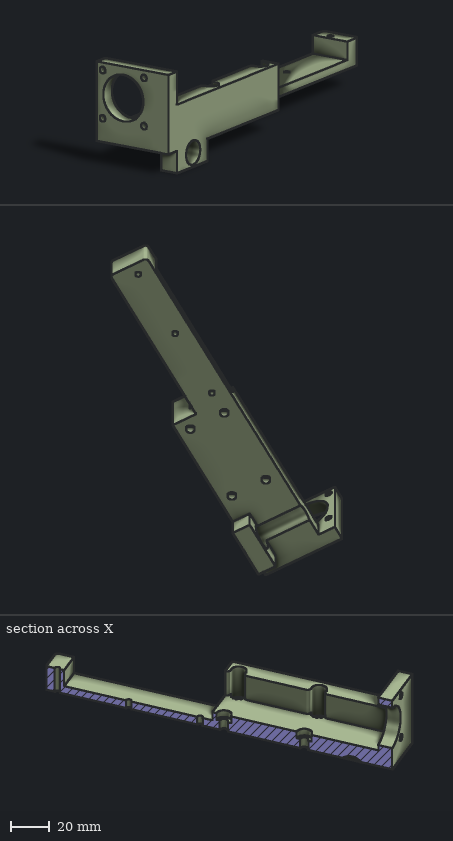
import cadquery as cq

total_length = 194
plate_width = 45.0
plate_height = 42.9
plate_thickness = 8.0

opening_x = 16.7
opening_z = 25.8
opening_diameter = 25.0
plate_screw_spacing = 26.0
plate_screw_diameter = 3.5

base_left = 9.5
base_end = 100.9
base_height = 10.0

wall_thickness = 9.9
wall_top = 25.0
wall_left = plate_width - wall_thickness
lip_radius = 2

mount_x = 18.0
mount_y = 49.5
mount_spacing_x = 20.0
mount_spacing_y = 45.0
mount_diameter = 4.5
counterbore_diameter = 8.1
counterbore_depth = 4.0

arm_width = 21.7
arm_thickness = 5.0
end_block_length = 10.0
end_block_height = 15.0
end_corner_radius = 2
arm_hole_diameter = 3.0
arm_hole_first_y = 107.9
arm_hole_spacing = 40.0
arm_hole_count = 3

lug_width = 10.0
lug_length = 28.0
lug_drop = 12.0
cross_hole_diameter = 13.0
cross_hole_y = plate_thickness + 14.7
cross_hole_z = -4.3

mount_columns = [mount_x, mount_x + mount_spacing_x]
mount_rows = [mount_y, mount_y + mount_spacing_y]
mount_points = [(x, y) for x in mount_columns for y in mount_rows]


def box(x_range, y_range, z_range):
    """Axis-aligned box between the given pairs of limits."""
    size = [high - low for low, high in (x_range, y_range, z_range)]
    corner = (x_range[0], y_range[0], z_range[0])
    return cq.Workplane("XY").box(*size, centered=False).translate(corner)


def vertical_cylinders(points, diameter, bottom, top):
    """Upright cylinders at the given XY points."""
    plane = cq.Workplane("XY").workplane(offset=bottom)
    return plane.pushPoints(points).circle(diameter / 2).extrude(top - bottom)


def make_plate():
    """End plate with the motor opening and four screw holes."""
    plate = box((0, plate_width), (0, plate_thickness), (0, plate_height))
    front = cq.Workplane("XZ", origin=(opening_x, 0, opening_z))
    opening = front.circle(opening_diameter / 2).extrude(-plate_thickness)
    screws = (
        front.rect(plate_screw_spacing, plate_screw_spacing, forConstruction=True)
        .vertices()
        .circle(plate_screw_diameter / 2)
        .extrude(-plate_thickness)
    )
    return plate.cut(opening).cut(screws)


def make_wall():
    """Side wall with screw-head reliefs whose lips are rounded."""
    wall = box((wall_left, plate_width), (plate_thickness, base_end), (base_height, wall_top))
    wall = wall.cut(vertical_cylinders(mount_points, counterbore_diameter, base_height, wall_top))
    lips = cq.selectors.BoxSelector(
        (wall_left - lip_radius, mount_rows[0] - counterbore_diameter, base_height),
        (wall_left + lip_radius, mount_rows[1] + counterbore_diameter / 2, wall_top),
    )
    return wall.edges("|Z").edges(lips).fillet(lip_radius)


def make_base():
    """Base block with counterbored mounting holes."""
    base = box((base_left, plate_width), (plate_thickness, base_end), (0, base_height))
    base = base.cut(vertical_cylinders(mount_points, mount_diameter, 0, base_height))
    counterbore_floor = base_height - counterbore_depth
    return base.cut(vertical_cylinders(mount_points, counterbore_diameter, counterbore_floor, base_height))


def make_arm():
    """Arm with its raised end block, rounded end corners and a row of holes."""
    arm_sides = (base_left, base_left + arm_width)
    arm = box(arm_sides, (base_end, total_length), (0, arm_thickness))
    end_block = box(arm_sides, (total_length - end_block_length, total_length), (0, end_block_height))
    arm = arm.union(end_block).edges("|Z and >Y").fillet(end_corner_radius)
    hole_points = [(mount_x, arm_hole_first_y + i * arm_hole_spacing) for i in range(arm_hole_count)]
    return arm.cut(vertical_cylinders(hole_points, arm_hole_diameter, 0, end_block_height))


def make_lug():
    """Lug hanging below the right side of the base."""
    lug_y = (plate_thickness, plate_thickness + lug_length)
    return box((plate_width - lug_width, plate_width), lug_y, (-lug_drop, 0))


cross_hole = (
    cq.Workplane("YZ", origin=(0, cross_hole_y, cross_hole_z))
    .circle(cross_hole_diameter / 2)
    .extrude(plate_width)
)

body = make_base().union(make_wall()).union(make_arm()).union(make_lug())
result = body.cut(cross_hole).union(make_plate())